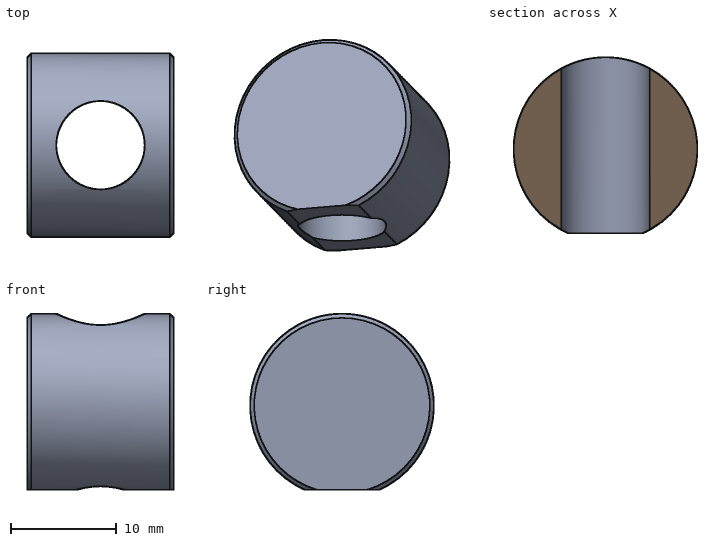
import cadquery as cq

barrel_diameter = 17.4
barrel_length = 13.89
height = 16.65
bore_diameter = 8.33
end_chamfer = 0.4

radius = barrel_diameter / 2
flat_z = radius - height

barrel = (
    cq.Workplane("YZ")
    .circle(radius)
    .extrude(barrel_length / 2, both=True)
    .faces("<X or >X")
    .chamfer(end_chamfer)
)

envelope = (
    cq.Workplane("XY", origin=(0, 0, flat_z))
    .rect(barrel_length, barrel_diameter)
    .extrude(height)
)

bore = (
    cq.Workplane("XY", origin=(0, 0, flat_z))
    .circle(bore_diameter / 2)
    .extrude(height)
)

result = barrel.intersect(envelope).cut(bore)